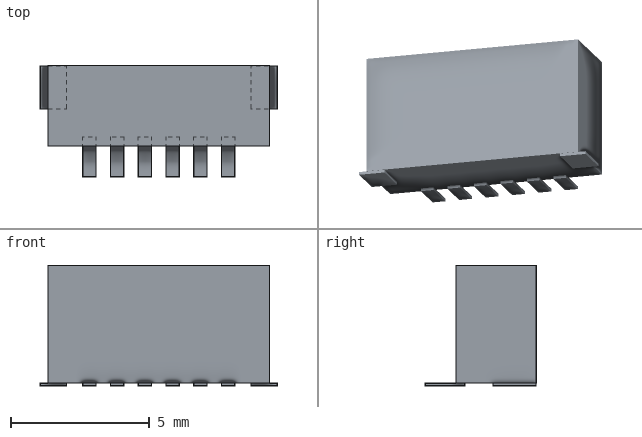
import cadquery as cq

total_width = 8.56
total_depth = 4.02
total_height = 4.35

housing_width = 8.0
housing_depth = 2.91

sheet_thickness = 0.1
contact_count = 6
contact_pitch = 1.0
contact_width = 0.48
contact_length = 1.44
tab_width = 0.96
tab_length = 1.56
tab_setback = 0.02

housing_back_y = total_depth
housing_front_y = housing_back_y - housing_depth
tab_front_y = housing_back_y - tab_setback - tab_length


def block(width, depth, height, center_x, front_y, bottom_z):
    """Rectangular solid centred on center_x, starting at front_y and bottom_z."""
    return (
        cq.Workplane("XY")
        .box(width, depth, height, centered=(True, False, False))
        .translate((center_x, front_y, bottom_z))
    )


def make_housing():
    """Plain block resting on the contacts and tabs."""
    height = total_height - sheet_thickness
    return block(housing_width, housing_depth, height, 0, housing_front_y, sheet_thickness)


def make_contact(center_x):
    """Flat contact reaching out from under the front of the housing."""
    return block(contact_width, contact_length, sheet_thickness, center_x, 0, 0)


def make_solder_tab(side):
    """Flat solder tab under one end of the housing; side is -1 or 1."""
    center_x = side * (total_width - tab_width) / 2
    return block(tab_width, tab_length, sheet_thickness, center_x, tab_front_y, 0)


housing = make_housing()

contacts = []
for index in range(contact_count):
    contact_x = (index - (contact_count - 1) / 2) * contact_pitch
    contacts.append(make_contact(contact_x).val())

solder_tabs = []
for tab_side in (-1, 1):
    solder_tabs.append(make_solder_tab(tab_side).val())

result = cq.Compound.makeCompound([housing.val(), *contacts, *solder_tabs])